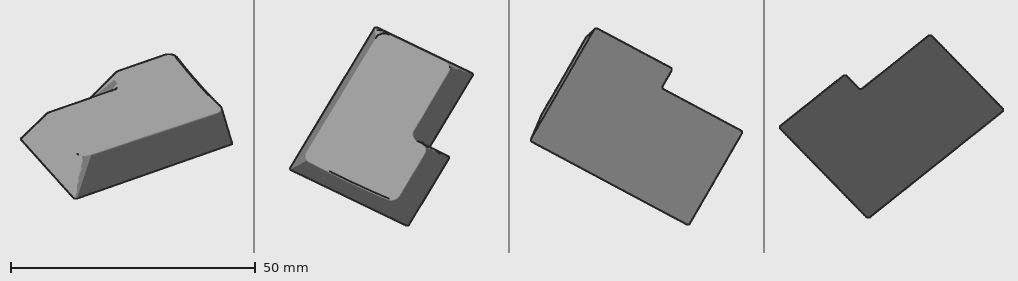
import cadquery as cq

WIDTH = 27.62
DEPTH = 37.15
STEP_WIDTH = 4.72
STEP_DEPTH = 18.1
BASE_RADIUS = 0.5

LOFT_HEIGHT = 8.0
SIDE_INSET = 3.4
FRONT_INSET = 3.9
STEP_INSET = 3.5
BACK_INSET = 0.3
LOFT_RADIUS = 2.2
LOFT_STEP_RADIUS = 1.85

DISH_RADIUS = 95.0
DISH_FRONT = cq.Vector(13.7, 0, 6.95)
DISH_BACK = cq.Vector(14.9, DEPTH, 6.49)
DISH_OVERRUN = 20.0

RIM_FILLET = 0.4


def rounded_outline(z, side, front, step, back, radius, step_radius):
    """L-shaped wire at height z, moved in from the skirt by the insets, all corners rounded."""
    left = side
    leg_left = STEP_WIDTH + side
    right = WIDTH - side
    step_y = DEPTH - STEP_DEPTH + step
    back_y = DEPTH - back
    corners = [
        cq.Vector(leg_left, front, z),
        cq.Vector(right, front, z),
        cq.Vector(right, back_y, z),
        cq.Vector(left, back_y, z),
        cq.Vector(left, step_y, z),
        cq.Vector(leg_left, step_y, z),
    ]
    outline = cq.Face.makeFromWires(cq.Wire.makePolygon(corners, close=True))
    inner_corner = corners[-1]

    def distance_to_inner_corner(vertex):
        return (vertex.Center() - inner_corner).Length

    outer_vertices = sorted(outline.Vertices(), key=distance_to_inner_corner)[1:]
    outline = outline.fillet2D(radius, outer_vertices)
    inner_vertex = min(outline.Vertices(), key=distance_to_inner_corner)
    return outline.fillet2D(step_radius, [inner_vertex]).outerWire()


def make_body():
    """Ruled walls between the skirt outline and the smaller outline above the dish."""
    base = rounded_outline(0, 0, 0, 0, 0, BASE_RADIUS, BASE_RADIUS)
    top = rounded_outline(
        LOFT_HEIGHT, SIDE_INSET, FRONT_INSET, STEP_INSET, BACK_INSET, LOFT_RADIUS, LOFT_STEP_RADIUS
    )
    return cq.Workplane(cq.Solid.makeLoft([base, top], True))


def make_dish():
    """Cylinder that hollows the top: higher at the front and turned slightly about Z."""
    lowest_line = DISH_BACK - DISH_FRONT
    direction = lowest_line.normalized()
    across = direction.cross(cq.Vector(0, 0, 1)).normalized()
    away_from_part = across.cross(direction)
    start = DISH_FRONT - direction * DISH_OVERRUN + away_from_part * DISH_RADIUS
    length = lowest_line.Length + 2 * DISH_OVERRUN
    return cq.Workplane(cq.Solid.makeCylinder(DISH_RADIUS, length, start, direction))


key_cap = make_body().cut(make_dish())
result = key_cap.faces(">Z").edges().fillet(RIM_FILLET)